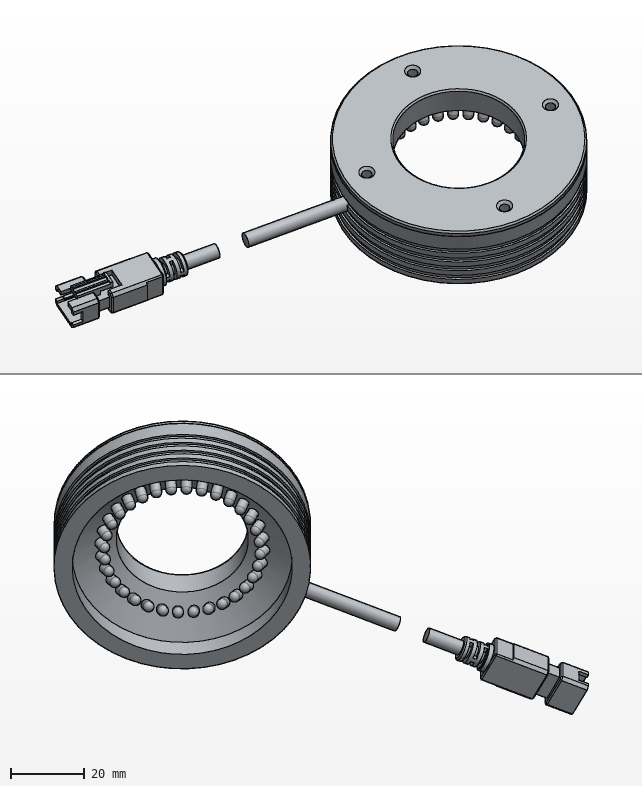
import cadquery as cq
import math


ring_height = 20.5
ring_radius = 35.0
bore_radius = 18.0
rim_chamfer = 0.5
cover_thickness = 1.6
cover_step = 0.1

groove_count = 4
groove_width = 1.6
groove_depth = 0.6
groove_pitch = 3.5
first_groove_z = 1.75

hole_count = 4
hole_circle_radius = 28.0
hole_radius = 1.4
hole_depth = 6.0
countersink_radius = 2.2
countersink_depth = 0.8

recess_radius = 30.0
recess_inner_z = 12.3
recess_slope = 30.0
recess_outer_z = recess_inner_z - (recess_radius - bore_radius) * math.tan(math.radians(recess_slope))

led_count = 32
led_radius = 1.5
led_dome_circle_radius = 21.3
led_dome_z = 7.4
led_barrel_length = 3.5

cable_radius = 2.1
cable_z = 11.1
stub_reach = 65.0
cable_restart_reach = 73.8

relief_start = 84.0
relief_step = 91.0
body_start = 92.3
body_shoulder = 97.6
body_end = 108.4
socket_start = 112.1
socket_wall_end = 117.3
socket_end = 120.2

relief_radius = 3.5
relief_collar_radius = 4.0
relief_chamfer = 0.4
relief_slot_count = 3
relief_slot_start = 85.4
relief_slot_width = 1.0
relief_slot_pitch = 2.15
relief_web = 1.4

plug_height = 8.0
plug_width = 10.9
body_front_width = 9.9
edge_chamfer = 0.9
end_chamfer = 0.4
neck_width = 8.0
neck_height = 4.2
neck_top_z = cable_z + neck_height / 2
neck_bottom_z = cable_z - neck_height / 2

socket_wall = 1.0
cavity_width = plug_width - 2 * socket_wall
cavity_start = socket_start + socket_wall
cavity_floor_z = cable_z - plug_height / 2 + socket_wall
cavity_ceiling_z = 13.7
wall_window_top_z = 12.9

latch_width = 4.2
latch_top_z = 16.5
latch_underside_z = 14.5
latch_plate_top_z = 16.0
latch_tab_start = 106.5
latch_tab_length = 0.7
latch_foot_start = 110.2
latch_gap = 1.4
rail_thickness = 0.5
latch_recess_width = 6.1
latch_recess_start = 104.2
pin_spacing = 5.2
pin_width = 1.0
pin_thickness = 0.5
pin_end = 119.1
pin_z = 11.6


def block(width, reach_start, reach_end, z_bottom, z_top, x_centre=0.0):
    """Box centred on x_centre, between two reaches and two heights."""
    length = reach_end - reach_start
    return (
        cq.Workplane("XY")
        .box(width, length, z_top - z_bottom, centered=(True, False, False))
        .translate((x_centre, -reach_end, z_bottom))
    )


def cable_rod(radius, reach_start, reach_end):
    """Round bar on the cable axis between two reaches."""
    return (
        cq.Workplane("XZ", origin=(0, -reach_start, cable_z))
        .circle(radius)
        .extrude(reach_end - reach_start)
    )


def plug_block(width, reach_start, reach_end, long_chamfer):
    """Full-height plug section with its four long edges chamfered."""
    half = plug_height / 2
    section = block(width, reach_start, reach_end, cable_z - half, cable_z + half)
    return section.edges("|Y").chamfer(long_chamfer)




def ring_shell():
    """Revolved ring with chamfered top edges, a stepped cover and an LED recess."""
    cover_radius = ring_radius - cover_step
    profile = [
        (bore_radius, recess_inner_z),
        (recess_radius, recess_outer_z),
        (recess_radius, 0),
        (ring_radius, 0),
        (ring_radius, ring_height - cover_thickness),
        (cover_radius, ring_height - cover_thickness),
        (cover_radius, ring_height - rim_chamfer),
        (cover_radius - rim_chamfer, ring_height),
        (bore_radius + rim_chamfer, ring_height),
        (bore_radius, ring_height - rim_chamfer),
    ]
    return cq.Workplane("XZ").polyline(profile).close().revolve(360, (0, 0, 0), (0, 1, 0))


def cooling_groove(index):
    """Band removed from the outside of the ring."""
    return (
        cq.Workplane("XY", origin=(0, 0, first_groove_z + index * groove_pitch))
        .circle(ring_radius + 1)
        .circle(ring_radius - groove_depth)
        .extrude(groove_width)
    )


def mounting_hole():
    """Countersunk blind hole at angle zero, open at the top face."""
    profile = [
        (0, ring_height),
        (countersink_radius, ring_height),
        (hole_radius, ring_height - countersink_depth),
        (hole_radius, ring_height - hole_depth),
        (0, ring_height - hole_depth),
    ]
    hole = cq.Workplane("XZ").polyline(profile).close().revolve(360, (0, 0, 0), (0, 1, 0))
    return hole.translate((hole_circle_radius, 0, 0))


def led():
    """Domed LED at angle zero, tilted inwards and rooted in the recess ceiling."""
    upright = (
        cq.Workplane("XZ")
        .moveTo(0, led_barrel_length)
        .lineTo(led_radius, led_barrel_length)
        .lineTo(led_radius, 0)
        .radiusArc((0, -led_radius), led_radius)
        .close()
        .revolve(360, (0, 0, 0), (0, 1, 0))
    )
    tilted = upright.rotate((0, 0, 0), (0, 1, 0), recess_slope)
    return tilted.translate((led_dome_circle_radius, 0, led_dome_z))


def around_ring(shape, count, index):
    """Turn a shape about the ring axis to one of count evenly spaced places."""
    return shape.rotate((0, 0, 0), (0, 0, 1), 360 * index / count)


def build_housing():
    body = ring_shell()
    for index in range(groove_count):
        body = body.cut(cooling_groove(index))
    for index in range(hole_count):
        body = body.cut(around_ring(mounting_hole(), hole_count, index))
    for index in range(led_count):
        body = body.union(around_ring(led(), led_count, index))
    cable_root = (ring_radius + recess_radius) / 2
    return body.union(cable_rod(cable_radius, cable_root, stub_reach))




def relief_slot(index):
    """Pair of opposed slots, alternately above/below and left/right of a web."""
    start = relief_slot_start + index * relief_slot_pitch
    end = start + relief_slot_width
    size = 2 * relief_collar_radius
    slot = block(size, start, end, cable_z - size / 2, cable_z + size / 2)
    if index % 2 == 0:
        web = block(size, start, end, cable_z - relief_web / 2, cable_z + relief_web / 2)
    else:
        web = block(relief_web, start, end, cable_z - size / 2, cable_z + size / 2)
    return slot.cut(web).cut(cable_rod(cable_radius, start, end))


def strain_relief():
    relief = cable_rod(relief_radius, relief_start, body_start)
    relief = relief.faces(">Y").edges().chamfer(relief_chamfer)
    relief = relief.union(cable_rod(relief_collar_radius, relief_step, body_start))
    for index in range(relief_slot_count):
        relief = relief.cut(relief_slot(index))
    return relief


def plug_body():
    """Stepped grip with a recess for the latch tab in its top face."""
    front = plug_block(body_front_width, body_start, body_shoulder, end_chamfer)
    front = front.faces(">Y").edges().chamfer(end_chamfer)
    rear = plug_block(plug_width, body_shoulder, body_end, edge_chamfer)
    rear = rear.faces("<Y").edges().chamfer(end_chamfer)
    recess = block(latch_recess_width, latch_recess_start, body_end, neck_top_z, latch_top_z)
    return front.union(rear).cut(recess)


def socket():
    """Open-ended shell with a slotted top and cut-back side walls."""
    shell = plug_block(plug_width, socket_start, socket_end, edge_chamfer)
    shell = shell.faces(">Y").edges().chamfer(end_chamfer)
    cavity = block(cavity_width, cavity_start, socket_end, cavity_floor_z, cavity_ceiling_z)
    latch_slot = block(latch_width, socket_start, socket_end, neck_top_z, latch_top_z)
    window = block(plug_width, socket_wall_end, socket_end, neck_bottom_z, wall_window_top_z)
    return shell.cut(cavity).cut(latch_slot).cut(window)


def latch():
    """Thumb tab, plate and two rails, carried by a pair of feet on the neck."""
    tab_end = latch_tab_start + latch_tab_length
    parts = block(latch_width, latch_tab_start, tab_end, latch_underside_z, latch_top_z)
    plate = block(latch_width, latch_tab_start, socket_wall_end, latch_underside_z, latch_plate_top_z)
    parts = parts.union(plate)
    foot_width = (latch_width - latch_gap) / 2
    for side in (-1, 1):
        rail_x = side * (latch_gap + rail_thickness) / 2
        foot_x = side * (latch_gap + foot_width) / 2
        rail = block(
            rail_thickness, latch_tab_start, socket_wall_end, latch_plate_top_z, latch_top_z, rail_x
        )
        foot = block(foot_width, latch_foot_start, cavity_start, neck_top_z, latch_underside_z, foot_x)
        parts = parts.union(rail).union(foot)
    return parts


def contact_pin(side):
    """Flat pin on one side of the socket, rooted in its back wall."""
    pin_bottom = pin_z - pin_thickness / 2
    pin_top = pin_z + pin_thickness / 2
    return block(pin_width, socket_start, pin_end, pin_bottom, pin_top, side * pin_spacing / 2)


def build_plug():
    body = cable_rod(cable_radius, cable_restart_reach, body_start)
    body = body.union(strain_relief())
    body = body.union(plug_body())
    body = body.union(block(neck_width, body_end, socket_start, neck_bottom_z, neck_top_z))
    body = body.union(socket())
    body = body.union(latch())
    for side in (-1, 1):
        body = body.union(contact_pin(side))
    return body


housing = build_housing()
plug = build_plug()

result = cq.Compound.makeCompound([housing.solids().val(), plug.solids().val()])